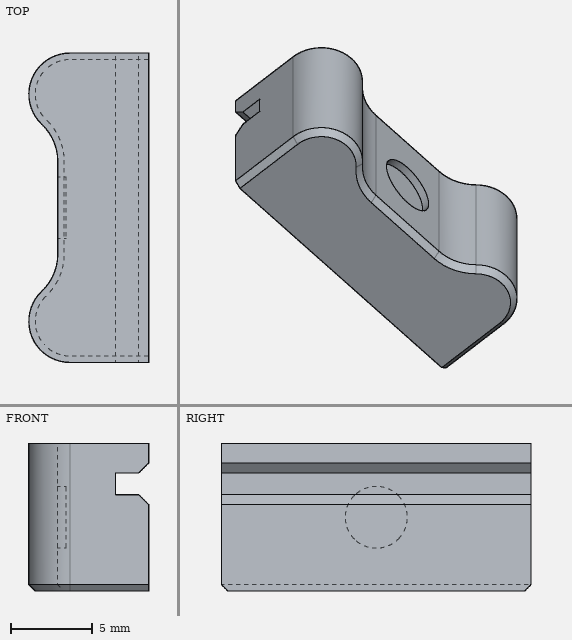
import cadquery as cq
import math

depth = 7.38
width = 19.04
height = 9.09

lobe_radius = 2.54
recess_depth = 1.78
flat_width = 5.7

pocket_diameter = 3.81
pocket_depth = 0.51

slot_depth = 2.03
slot_height = 1.32
slot_center_z = height - 2.49
flare = 0.62

bottom_chamfer = 0.4

front_x = -depth
flat_x = front_x + recess_depth
lobe_x = front_x + lobe_radius
lobe_y = width / 2 - lobe_radius
flat_end_y = flat_width / 2

offset_x = lobe_x - flat_x
offset_y = lobe_y - flat_end_y
blend_radius = (offset_x**2 + offset_y**2 - lobe_radius**2) / (2 * (lobe_radius - offset_x))
blend_x = flat_x - blend_radius
blend_angle = math.atan2(offset_y, lobe_x - blend_x)


def point_on_blend(angle):
    """Point on the +Y blend arc, with the angle measured from +X."""
    return (
        blend_x + blend_radius * math.cos(angle),
        flat_end_y + blend_radius * math.sin(angle),
    )


def mirrored(point):
    """The same point on the -Y half of the part."""
    return (point[0], -point[1])


def make_body():
    blend_end = point_on_blend(blend_angle)
    blend_middle = point_on_blend(blend_angle / 2)
    lobe_front = (front_x, lobe_y)
    lobe_side = (lobe_x, width / 2)
    back_corner = (0, width / 2)
    flat_end = (flat_x, flat_end_y)
    body = (
        cq.Workplane("XY")
        .moveTo(*mirrored(back_corner))
        .lineTo(*back_corner)
        .lineTo(*lobe_side)
        .threePointArc(lobe_front, blend_end)
        .threePointArc(blend_middle, flat_end)
        .lineTo(*mirrored(flat_end))
        .threePointArc(mirrored(blend_middle), mirrored(blend_end))
        .threePointArc(mirrored(lobe_front), mirrored(lobe_side))
        .close()
        .extrude(height)
    )
    back_bottom_edge = cq.selectors.NearestToPointSelector((0, 0, 0))
    bevelled_edges = cq.selectors.InverseSelector(back_bottom_edge)
    return body.faces("<Z").edges(bevelled_edges).chamfer(bottom_chamfer)


def make_pocket():
    return (
        cq.Workplane("YZ", origin=(flat_x, 0, height / 2))
        .circle(pocket_diameter / 2)
        .extrude(pocket_depth)
    )


def make_slot():
    half_slot = slot_height / 2
    half_mouth = half_slot + flare
    return (
        cq.Workplane("XZ", origin=(0, 0, slot_center_z))
        .polyline([
            (0, half_mouth),
            (-flare, half_slot),
            (-slot_depth, half_slot),
            (-slot_depth, -half_slot),
            (-flare, -half_slot),
            (0, -half_mouth),
        ])
        .close()
        .extrude(width / 2, both=True)
    )


result = make_body().cut(make_pocket()).cut(make_slot())